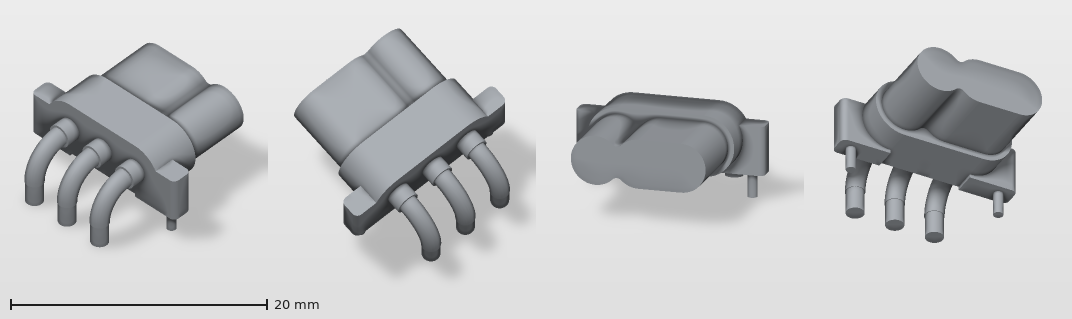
import cadquery as cq
import math

overall_width = 15.4
pitch = 3.5
contact_xs = [-pitch, 0.0, pitch]

base_height = 5.0
base_depth = 4.2
wing_height = 4.0
wing_depth = 1.9
wing_corner_radius = 0.5
wing_bottom = -2.8

peg_diameter = 0.8
peg_length = 2.0
peg_offset = 6.5

collar_diameter = 2.0
collar_length = 1.23
bend_diameter = 1.6
bend_radius = -wing_bottom
lead_diameter = 1.5
lead_length = peg_length

nose_radius = 2.0
nose_length = 6.0
groove_fillet = 0.5


def make_block():
    return (
        cq.Workplane("XZ")
        .slot2D(2 * pitch + base_height, base_height)
        .extrude(-base_depth)
    )


def make_wing(side):
    """Upright slab reaching from an outer contact to the end of the part."""
    length = overall_width / 2 - pitch
    outer_edges = ">X and |Z" if side > 0 else "<X and |Z"
    return (
        cq.Workplane("XY")
        .box(length, wing_depth, wing_height)
        .edges(outer_edges)
        .fillet(wing_corner_radius)
        .translate((side * (pitch + length / 2), wing_depth / 2, wing_bottom + wing_height / 2))
    )


def make_peg(side):
    return (
        cq.Workplane("XY", origin=(side * peg_offset, wing_depth / 2, wing_bottom))
        .circle(peg_diameter / 2)
        .extrude(-peg_length)
    )


def make_contact(x):
    """Collar, quarter-circle bend and straight lead of one contact."""
    collar = cq.Workplane("XZ", origin=(x, 0, 0)).circle(collar_diameter / 2).extrude(collar_length)
    bend = (
        cq.Workplane("XZ", origin=(x, -collar_length, 0))
        .circle(bend_diameter / 2)
        .revolve(90, (0, -bend_radius), (1, -bend_radius))
    )
    lead = (
        cq.Workplane("XY", origin=(x, -collar_length - bend_radius, wing_bottom))
        .circle(lead_diameter / 2)
        .extrude(-lead_length)
    )
    return collar.union(bend).union(lead)


def make_base():
    base = make_block()
    for side in (-1, 1):
        base = base.union(make_wing(side)).union(make_peg(side))
    for x in contact_xs:
        base = base.union(make_contact(x))
    return base


def make_nose():
    """Round-ended bar and a round lobe, blended by a filleted groove above and below."""
    r = nose_radius
    groove_x = pitch / 2
    fillet_center_z = math.sqrt((r + groove_fillet) ** 2 - groove_x**2)
    valley_z = fillet_center_z - groove_fillet
    lobe_angle = math.atan2(fillet_center_z, groove_x)
    touch_x = r * math.cos(lobe_angle)
    touch_z = r * math.sin(lobe_angle)
    lobe_mid_angle = (lobe_angle + math.pi / 2) / 2
    lobe_mid_x = r * math.cos(lobe_mid_angle)
    lobe_mid_z = r * math.sin(lobe_mid_angle)

    outline = (
        cq.Workplane("XZ", origin=(0, base_depth, 0))
        .moveTo(-pitch, r)
        .lineTo(0, r)
        .threePointArc((lobe_mid_x, lobe_mid_z), (touch_x, touch_z))
        .threePointArc((groove_x, valley_z), (pitch - touch_x, touch_z))
        .threePointArc((pitch + r, 0), (pitch - touch_x, -touch_z))
        .threePointArc((groove_x, -valley_z), (touch_x, -touch_z))
        .threePointArc((lobe_mid_x, -lobe_mid_z), (0, -r))
        .lineTo(-pitch, -r)
        .threePointArc((-pitch - r, 0), (-pitch, r))
        .close()
    )
    return outline.extrude(-nose_length)


base = make_base()
nose = make_nose()
result = cq.Compound.makeCompound([base.val(), nose.val()])